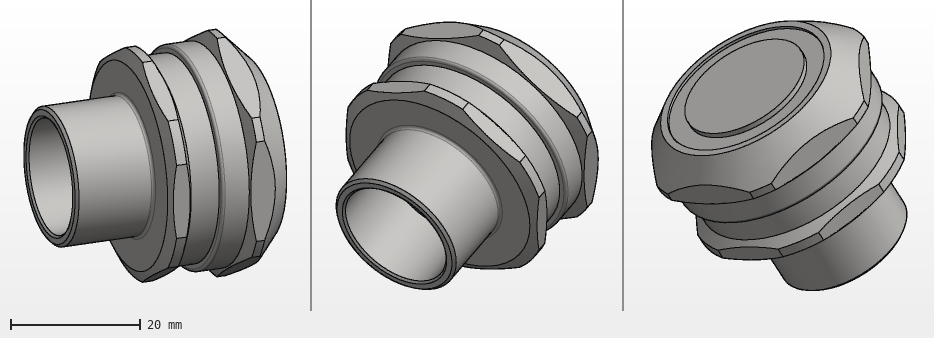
import cadquery as cq
import math


tube_radius = 22.0 / 2
bore_radius = 18.4 / 2
bore_mouth_radius = 19.1 / 2
bore_depth = 12.55
tube_chamfer = 0.47
root_fillet = 0.47

small_flats = 34.98
small_corner_radius = 37.0 / 2
small_face_radius = 33.0 / 2
small_front = 13.0
small_band_front = 14.1
small_band_back = 15.8
small_back = 16.95

neck_radius = 33.0 / 2
collar_radius = 35.5 / 2
collar_front = 21.6
collar_fillet = 0.47

large_flats = 36.0
large_corner_radius = 19.8
large_front = 26.1
large_band_front = 27.2
large_band_back = 28.55

rim_y = 33.55
rim_radius = large_corner_radius - (rim_y - large_band_back)
recess_radius = 27.2 / 2
recess_depth = 0.47
pad_radius = 20.75 / 2
pad_top = 34.0


def revolve(points):
    """Turn a closed outline of (radius, y) points about the Y axis."""
    return cq.Workplane("XY").polyline(points).close().revolve(360, (0, 0), (0, 1))


def cylinder(radius, start, end):
    """Solid cylinder along Y between two stations."""
    return cq.Workplane("XZ", origin=(0, start, 0)).circle(radius).extrude(start - end)


def hexagon(flats, start, end):
    """Hexagonal prism along Y with two flats facing +X and -X."""
    corner_diameter = flats / math.cos(math.radians(30))
    plane = cq.Workplane("XZ", origin=(0, start, 0)).transformed(rotate=(0, 0, 30))
    return plane.polygon(6, corner_diameter).extrude(start - end)


def make_tube():
    body = cylinder(tube_radius, 0, small_front).faces("<Y").edges().chamfer(tube_chamfer)
    fillet_start = small_front - root_fillet
    fillet_edge = tube_radius + root_fillet
    arc_offset = root_fillet * (1 - math.sqrt(0.5))
    root = (
        cq.Workplane("XY")
        .moveTo(0, fillet_start)
        .lineTo(tube_radius, fillet_start)
        .threePointArc((tube_radius + arc_offset, small_front - arc_offset), (fillet_edge, small_front))
        .lineTo(0, small_front)
        .close()
        .revolve(360, (0, 0), (0, 1))
    )
    return body.union(root)


def make_small_hexagon():
    envelope = revolve([
        (0, small_front),
        (small_face_radius, small_front),
        (small_corner_radius, small_band_front),
        (small_corner_radius, small_band_back),
        (neck_radius, small_back),
        (0, small_back),
    ])
    return hexagon(small_flats, small_front, small_back).intersect(envelope)


def make_collar():
    neck = cylinder(neck_radius, small_back, collar_front)
    collar = cylinder(collar_radius, collar_front, large_front).faces("<Y").edges().fillet(collar_fillet)
    return neck.union(collar)


def make_large_hexagon():
    envelope = revolve([
        (0, large_front),
        (collar_radius, large_front),
        (large_corner_radius, large_band_front),
        (large_corner_radius, large_band_back),
        (rim_radius, rim_y),
        (0, rim_y),
    ])
    return hexagon(large_flats, large_front, rim_y).intersect(envelope)


def make_bore():
    mouth_depth = bore_mouth_radius - bore_radius
    return revolve([
        (0, 0),
        (bore_mouth_radius, 0),
        (bore_radius, mouth_depth),
        (bore_radius, bore_depth),
        (0, bore_depth),
    ])


body = make_tube().union(make_small_hexagon()).union(make_collar()).union(make_large_hexagon())
recess_floor = rim_y - recess_depth
recess = cylinder(recess_radius, recess_floor, rim_y)
pad = cylinder(pad_radius, recess_floor, pad_top)
result = body.cut(recess).union(pad).cut(make_bore())